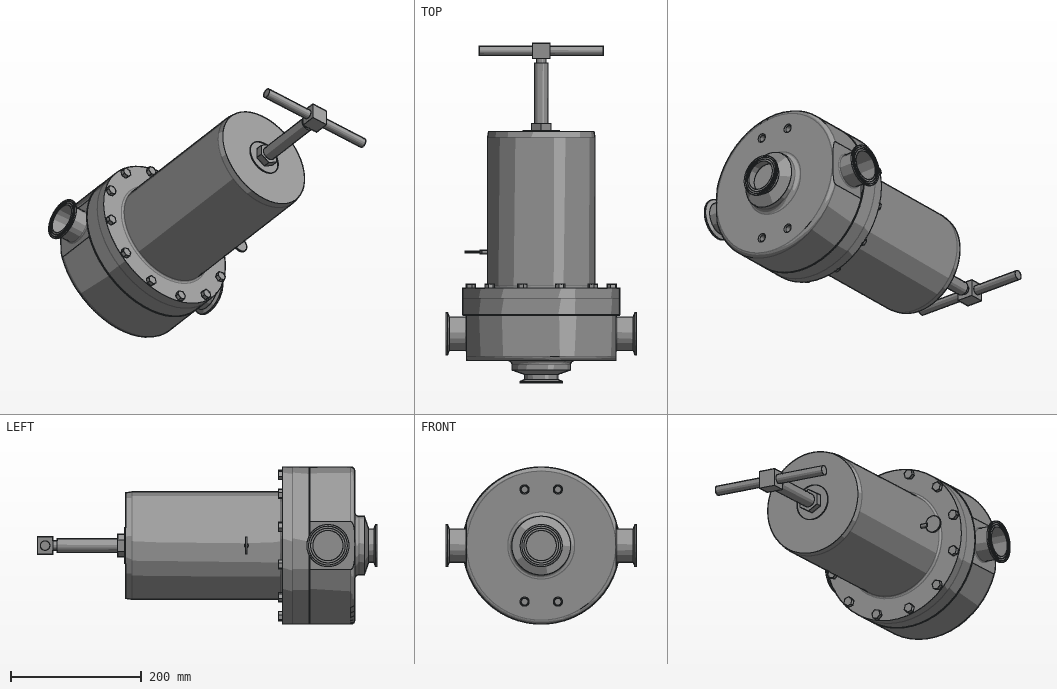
import cadquery as cq
import math


NECK_REAR_Y = 13.0
BOSS_FRONT_Y = 20.0
BODY_FRONT_Y = 34.5
PORT_Y = 75.5
BODY_REAR_Y = 103.0
FLANGE_FRONT_Y = 104.5
FLANGE_SPLIT_Y = 129.5
FLANGE_REAR_Y = 145.0
TAG_Y = 200.0
CAP_TAPER_Y = 375.0
CAP_REAR_Y = 384.5
PAD_REAR_Y = 386.0
NUT_REAR_Y = 397.0
STEM_REAR_Y = 489.5
BLOCK_FRONT_Y = 496.0
OVERALL_LENGTH = 519.5

FLANGE_DIAMETER = 240.5
BODY_DIAMETER = FLANGE_DIAMETER
SEAM_DIAMETER = 239.5
BODY_FLATS_WIDTH = 229.0
BODY_EDGE_FILLET = 6.0
BOSS_DIAMETER = 90.0
BOSS_FILLET = 6.0

FITTING_DIAMETER = 64.5
FITTING_RIM = 2.5
FITTING_TAPER = 2.5
TUBE_DIAMETER = 51.5
BORE_DIAMETER = 46.0
PORT_SPAN = 291.5
PORT_FILLET = 1.5
GROOVE_DIAMETER = 56.0
GROOVE_WIDTH = 3.0
GROOVE_DEPTH = 1.0

FRONT_HOLE_X = 25.5
FRONT_HOLE_Z = 86.0
FRONT_HOLE_DIAMETER = 10.5
FRONT_HOLE_RIM_DIAMETER = 14.0
FRONT_HOLE_DEPTH = 15.5

BOLT_COUNT = 12
BOLT_CIRCLE_RADIUS = 111.5
BOLT_ACROSS_FLATS = 13.0
BOLT_HEAD_HEIGHT = 6.0

HOUSING_DIAMETER = 164.5
HOUSING_FILLET = 3.0
CAP_INSET = 1.5
PAD_DIAMETER = 55.0

TAG_DIAMETER = 26.0
TAG_THICKNESS = 2.5
TAG_OUTER_X = -116.5
TAG_PIN_DIAMETER = 6.0
TAG_PIN_OVERLAP = 3.0

NUT_ACROSS_FLATS = 30.0
STEM_DIAMETER = 21.5
STEM_NECK_DIAMETER = 15.0
BLOCK_WIDTH = 27.0
BAR_DIAMETER = 14.5
BAR_LENGTH = 190.0


def rod(diameter, y_start, y_end, x=0.0):
    """Solid cylinder parallel to Y."""
    start = cq.Vector(x, y_start, 0)
    return cq.Workplane(cq.Solid.makeCylinder(diameter / 2, y_end - y_start, start, cq.Vector(0, 1, 0)))


def cone(start_diameter, end_diameter, y_start, y_end):
    """Solid truncated cone along the Y axis."""
    start = cq.Vector(0, y_start, 0)
    height = y_end - y_start
    return cq.Workplane(
        cq.Solid.makeCone(start_diameter / 2, end_diameter / 2, height, start, cq.Vector(0, 1, 0))
    )


def hexagon(across_flats, y_start, y_end, x=0.0):
    """Hexagonal prism parallel to Y with its corners pointing up and down."""
    corner_diameter = across_flats / math.cos(math.pi / 6)
    prism = cq.Workplane("XZ").polygon(6, corner_diameter).extrude(y_start - y_end)
    return prism.rotate((0, 0, 0), (0, 1, 0), 30).translate((x, y_start, 0))


def root_fillet(diameter, size, root_y):
    """Disc whose hollow rim blends a cylinder, lying on its -Y side, into a face at root_y."""
    radius = diameter / 2
    middle = size * (1 - math.sqrt(0.5))
    return (
        cq.Workplane("XY")
        .moveTo(0, root_y - size)
        .lineTo(radius, root_y - size)
        .threePointArc((radius + middle, root_y - middle), (radius + size, root_y))
        .lineTo(0, root_y)
        .close()
        .revolve(360, (0, 0), (0, 1))
    )


def clamp_fitting(length):
    """Flanged tube along +Y with its sealing face at Y = 0."""
    rim = FITTING_DIAMETER / 2
    tube = TUBE_DIAMETER / 2
    outline = [
        (0, 0),
        (rim, 0),
        (rim, FITTING_RIM),
        (tube, FITTING_RIM + FITTING_TAPER),
        (tube, length),
        (0, length),
    ]
    fitting = cq.Workplane("XY").polyline(outline).close().revolve(360, (0, 0), (0, 1))
    groove_outer = rod(GROOVE_DIAMETER + GROOVE_WIDTH, 0, GROOVE_DEPTH)
    groove_inner = rod(GROOVE_DIAMETER - GROOVE_WIDTH, 0, GROOVE_DEPTH)
    return fitting.cut(groove_outer.cut(groove_inner))


def lower_body():
    """Round body with two side flats, a rounded front edge and four countersunk front holes."""
    body = rod(BODY_DIAMETER, BODY_FRONT_Y, BODY_REAR_Y)
    body = body.faces("<Y").edges().fillet(BODY_EDGE_FILLET)
    body = body.intersect(cq.Workplane().box(BODY_FLATS_WIDTH, 2 * OVERALL_LENGTH, BODY_DIAMETER))
    rim_depth = (FRONT_HOLE_RIM_DIAMETER - FRONT_HOLE_DIAMETER) / 2
    hole = rod(FRONT_HOLE_DIAMETER, BODY_FRONT_Y, BODY_FRONT_Y + FRONT_HOLE_DEPTH)
    rim = cone(FRONT_HOLE_RIM_DIAMETER, FRONT_HOLE_DIAMETER, BODY_FRONT_Y, BODY_FRONT_Y + rim_depth)
    hole = hole.union(rim)
    for x in (-FRONT_HOLE_X, FRONT_HOLE_X):
        for z in (-FRONT_HOLE_Z, FRONT_HOLE_Z):
            body = body.cut(hole.translate((x, 0, z)))
    return body


def front_boss():
    """Boss with a conical front, blended into the body face."""
    front = cone(TUBE_DIAMETER, BOSS_DIAMETER, NECK_REAR_Y, BOSS_FRONT_Y)
    boss = rod(BOSS_DIAMETER, BOSS_FRONT_Y, BODY_FRONT_Y)
    return boss.union(front).union(root_fillet(BOSS_DIAMETER, BOSS_FILLET, BODY_FRONT_Y))


def flange():
    """Two flange plates with a ring of hexagonal bolt heads, seated on the body over a shallow seam."""
    plates = rod(FLANGE_DIAMETER, FLANGE_FRONT_Y, FLANGE_SPLIT_Y)
    plates = plates.union(rod(SEAM_DIAMETER, BODY_REAR_Y, FLANGE_FRONT_Y))
    plates = plates.union(rod(FLANGE_DIAMETER, FLANGE_SPLIT_Y, FLANGE_REAR_Y), clean=False)
    pitch = 360 / BOLT_COUNT
    head = hexagon(BOLT_ACROSS_FLATS, FLANGE_REAR_Y, FLANGE_REAR_Y + BOLT_HEAD_HEIGHT, x=BOLT_CIRCLE_RADIUS)
    for index in range(BOLT_COUNT):
        plates = plates.union(head.rotate((0, 0, 0), (0, 1, 0), (index + 0.5) * pitch), clean=False)
    return plates


def housing():
    """Cylindrical spring housing with a fillet at its root, a tapered end cap and a centre pad."""
    radius = HOUSING_DIAMETER / 2
    outline = [
        (0, FLANGE_REAR_Y),
        (radius, FLANGE_REAR_Y),
        (radius, CAP_TAPER_Y),
        (radius - CAP_INSET, CAP_REAR_Y),
        (0, CAP_REAR_Y),
    ]
    shell = cq.Workplane("XY").polyline(outline).close().revolve(360, (0, 0), (0, 1))
    root = root_fillet(HOUSING_DIAMETER, HOUSING_FILLET, 0).mirror("XZ").translate((0, FLANGE_REAR_Y, 0))
    pad = rod(PAD_DIAMETER, CAP_REAR_Y, PAD_REAR_Y)
    return shell.union(root, clean=False).union(pad, clean=False)


def tag():
    """Thin disc held on a pin at the -X side of the housing."""
    centre_x = TAG_OUTER_X + TAG_DIAMETER / 2
    disc = rod(TAG_DIAMETER, TAG_Y - TAG_THICKNESS / 2, TAG_Y + TAG_THICKNESS / 2, x=centre_x)
    pin_start = centre_x + TAG_DIAMETER / 2 - TAG_PIN_OVERLAP
    pin = cq.Workplane("YZ", origin=(pin_start, TAG_Y, 0)).circle(TAG_PIN_DIAMETER / 2).extrude(-pin_start)
    return disc.union(pin)


def handle():
    """Adjusting screw with lock nut, square block and cross bar."""
    block_length = OVERALL_LENGTH - BLOCK_FRONT_Y
    block_y = BLOCK_FRONT_Y + block_length / 2
    block = cq.Workplane().box(BLOCK_WIDTH, block_length, BLOCK_WIDTH).translate((0, block_y, 0))
    bar = cq.Workplane("YZ").circle(BAR_DIAMETER / 2).extrude(BAR_LENGTH / 2, both=True)
    nut = hexagon(NUT_ACROSS_FLATS, PAD_REAR_Y, NUT_REAR_Y)
    stem = rod(STEM_DIAMETER, PAD_REAR_Y, STEM_REAR_Y)
    neck = rod(STEM_NECK_DIAMETER, STEM_REAR_Y, BLOCK_FRONT_Y)
    return nut.union(stem).union(neck).union(block).union(bar.translate((0, block_y, 0)))


front_nozzle = clamp_fitting(NECK_REAR_Y)
port_length = (PORT_SPAN - BODY_FLATS_WIDTH) / 2
left_port = clamp_fitting(port_length).union(root_fillet(TUBE_DIAMETER, PORT_FILLET, port_length))
left_port = left_port.rotate((0, 0, 0), (0, 0, 1), -90).translate((-PORT_SPAN / 2, PORT_Y, 0))

result = lower_body().union(front_boss()).union(front_nozzle)
result = result.union(left_port).union(left_port.mirror("YZ"))

nozzle_bore = rod(BORE_DIAMETER, 0, NECK_REAR_Y)
left_bore = (
    cq.Workplane("YZ", origin=(-PORT_SPAN / 2, PORT_Y, 0)).circle(BORE_DIAMETER / 2).extrude(port_length)
)
result = result.cut(nozzle_bore).cut(left_bore).cut(left_bore.mirror("YZ"))

for section in (flange(), housing(), tag(), handle()):
    result = result.union(section, clean=False)